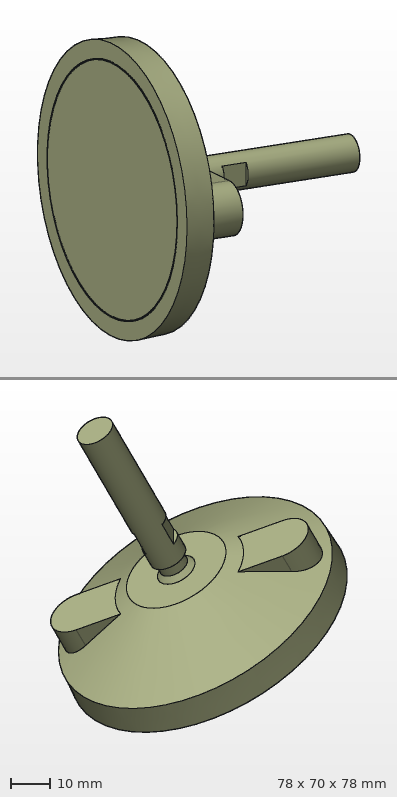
import cadquery as cq


plate_diameter = 78.0
rim_top_diameter = 77.15
rim_height = 8.2
cone_top_diameter = 28.0
plate_height = 20.0

groove_outer_diameter = 68.0
groove_inner_diameter = 67.5
groove_depth = 0.4

total_length = 70.0
spindle_diameter = 10.0
spindle_start = 24.95
neck_diameter = 7.8
collar_diameter = 10.5
collar_top = 21.5
flats_width = 7.8
flats_start = 30.1
flats_length = 7.0

lug_span = 72.55
lug_width = 14.5
lug_top = 18.0


def cylinder_along_y(diameter, start, end):
    """Cylinder on the foot axis between two Y positions."""
    return (
        cq.Workplane("XZ", origin=(0, start, 0))
        .circle(diameter / 2)
        .extrude(start - end)
    )


def make_plate_and_neck():
    """Revolved plate with its rim, cone, collar and neck."""
    profile = [
        (0, 0),
        (plate_diameter / 2, 0),
        (rim_top_diameter / 2, rim_height),
        (cone_top_diameter / 2, plate_height),
        (collar_diameter / 2, plate_height),
        (neck_diameter / 2, collar_top),
        (neck_diameter / 2, spindle_start),
        (0, spindle_start),
    ]
    return cq.Workplane("XY").polyline(profile).close().revolve(360, (0, 0, 0), (0, 1, 0))


def make_lugs():
    """One round-ended bar through the plate, forming both lugs."""
    return (
        cq.Workplane("XZ")
        .slot2D(lug_span, lug_width)
        .extrude(-lug_top)
    )


def make_spindle():
    """Spindle with two wrench flats facing +X and -X."""
    spindle = cylinder_along_y(spindle_diameter, spindle_start, total_length)
    cut_depth = (spindle_diameter - flats_width) / 2
    for side in (-1, 1):
        cutter = cq.Workplane("XY").box(cut_depth, flats_length, spindle_diameter).translate(
            (side * (flats_width + cut_depth) / 2, flats_start + flats_length / 2, 0)
        )
        spindle = spindle.cut(cutter)
    return spindle


def make_groove():
    """Thin ring groove in the sole."""
    outer = cylinder_along_y(groove_outer_diameter, 0, groove_depth)
    return outer.cut(cylinder_along_y(groove_inner_diameter, 0, groove_depth))


result = make_plate_and_neck().union(make_lugs()).union(make_spindle()).cut(make_groove())